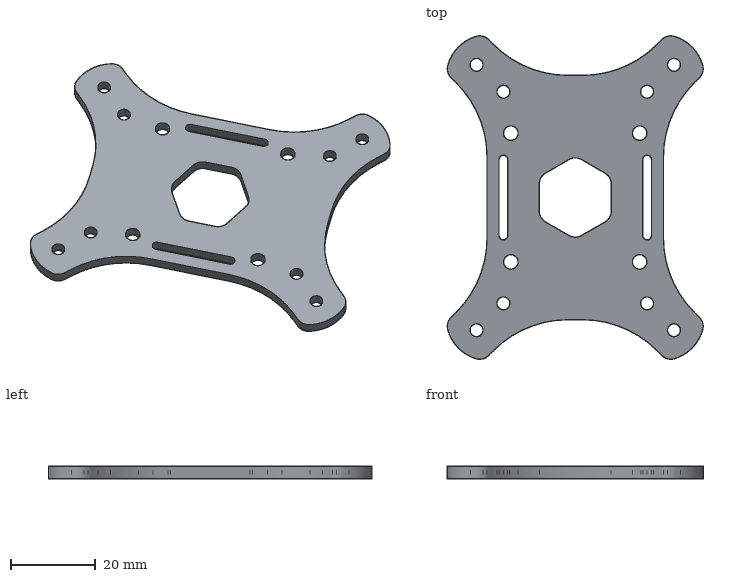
import cadquery as cq
import math

thickness = 3.0
waist_half_width = 20.9
waist_half_height = 28.9
side_flat_half = 9.55
end_flat_half = 1.75
waist_radius = 24.8

tip_hole_x = 23.3
tip_hole_y = 31.35
tip_reach = 6.05
tip_radius = 10.0
tip_corner_radius = 3.0

small_hole_diameter = 3.0
large_hole_diameter = 3.4
inner_hole_x = 17.0
inner_hole_y = 25.0
square_hole_offset = 15.2
slot_x = inner_hole_x
slot_length = 20.0
slot_width = 2.0
hex_across_flats = 17.0
hex_corner_radius = 3.0

diagonal = math.sqrt(0.5)


def mirrored(x, y):
    """The four points placed symmetrically about both centre lines."""
    return [(sx * x, sy * y) for sx in (-1, 1) for sy in (-1, 1)]


def quarter_plate():
    """The +X +Y quarter of the plate, with its arm tip rounded."""
    arc_rise = waist_radius * (1 - diagonal)
    arc_run = waist_radius * diagonal
    mid_rise = waist_radius * (1 - math.cos(math.pi / 8))
    mid_run = waist_radius * math.sin(math.pi / 8)

    side_neck = (waist_half_width + arc_rise, side_flat_half + arc_run)
    end_neck = (end_flat_half + arc_run, waist_half_height + arc_rise)

    centre_shift = (tip_reach - tip_radius) * diagonal
    centre_x = tip_hole_x + centre_shift
    centre_y = tip_hole_y + centre_shift

    def tip_corner(neck):
        """Where the 45 degree neck line starting at a point meets the tip arc."""
        along = ((centre_x - neck[0]) + (centre_y - neck[1])) * diagonal
        across = ((centre_x - neck[0]) - (centre_y - neck[1])) * diagonal
        step = (along + math.sqrt(tip_radius**2 - across**2)) * diagonal
        return (neck[0] + step, neck[1] + step)

    side_corner = tip_corner(side_neck)
    end_corner = tip_corner(end_neck)
    crown = (tip_hole_x + tip_reach * diagonal, tip_hole_y + tip_reach * diagonal)

    quarter = (
        cq.Workplane("XY")
        .lineTo(waist_half_width, 0)
        .lineTo(waist_half_width, side_flat_half)
        .threePointArc((waist_half_width + mid_rise, side_flat_half + mid_run), side_neck)
        .lineTo(*side_corner)
        .threePointArc(crown, end_corner)
        .lineTo(*end_neck)
        .threePointArc((end_flat_half + mid_run, waist_half_height + mid_rise),
                       (end_flat_half, waist_half_height))
        .lineTo(0, waist_half_height)
        .close()
        .extrude(thickness)
    )
    for corner in (side_corner, end_corner):
        nearest = cq.selectors.NearestToPointSelector((*corner, thickness / 2))
        quarter = quarter.edges(nearest).fillet(tip_corner_radius)
    return quarter


def through_holes(points, diameter):
    return cq.Workplane("XY").pushPoints(points).circle(diameter / 2).extrude(thickness)


def side_slots():
    return (
        cq.Workplane("XY")
        .pushPoints([(-slot_x, 0), (slot_x, 0)])
        .slot2D(slot_length, slot_width, 90)
        .extrude(thickness)
    )


def hexagon_opening():
    """Hexagon with flats facing +X and -X and rounded corners."""
    across_corners = hex_across_flats / math.cos(math.pi / 6)
    return (
        cq.Workplane("XY")
        .transformed(rotate=(0, 0, 90))
        .polygon(6, across_corners)
        .extrude(thickness)
        .edges("|Z")
        .fillet(hex_corner_radius)
    )


quarter = quarter_plate()
half = quarter.union(quarter.mirror("YZ"))
plate = half.union(half.mirror("XZ")).clean()

result = (
    plate
    .cut(through_holes(mirrored(tip_hole_x, tip_hole_y), small_hole_diameter))
    .cut(through_holes(mirrored(inner_hole_x, inner_hole_y), small_hole_diameter))
    .cut(through_holes(mirrored(square_hole_offset, square_hole_offset), large_hole_diameter))
    .cut(side_slots())
    .cut(hexagon_opening())
)